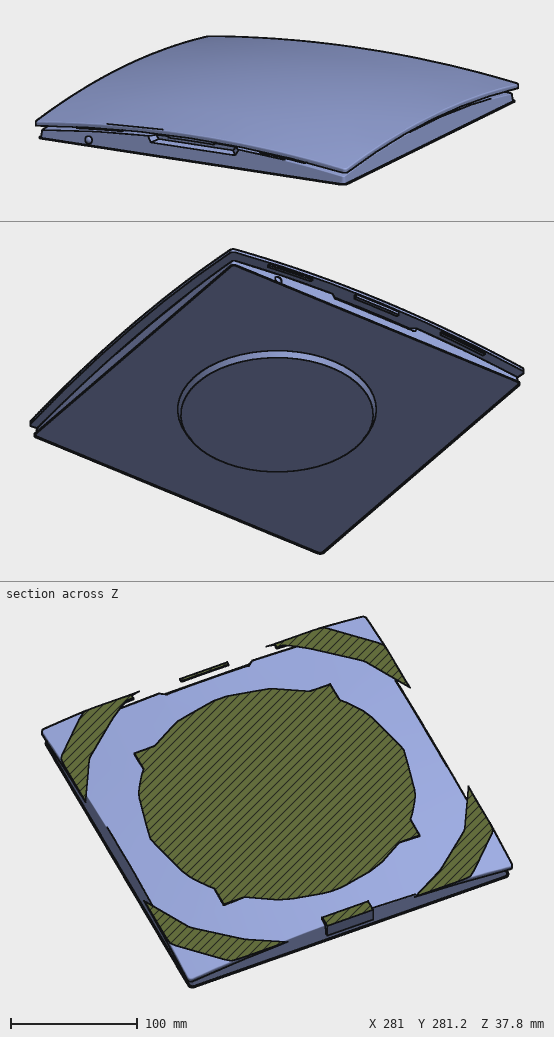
import cadquery as cq
import math

COVER_X = 281.0
COVER_Y = 281.17
BOSS_HEIGHT = 5.0
TOTAL_HEIGHT = 37.82
COVER_TOP_Z = TOTAL_HEIGHT - BOSS_HEIGHT

DOME_DROP = 9.4
DOME_RADIUS = ((COVER_X / 2) ** 2 + DOME_DROP ** 2) / (2 * DOME_DROP)

TRIM_ALLOWANCE = 1.0

COVER_THICKNESS = 3.5
COVER_CORNER_RADIUS = 3.0
COVER_EDGE_ROUND = 1.2
COVER_BOTTOM_Z = COVER_TOP_Z - COVER_THICKNESS
COVER_MIDDLE_Z = COVER_TOP_Z - COVER_THICKNESS / 2

FLANGE_SIZE = 277.0
FLANGE_THICKNESS = 0.5
FLANGE_CORNER_RADIUS = 3.5
WALL_SIZE = 275.0
WALL_DRAFT = 9.0
BASE_CORNER_RADIUS = 3.0
BASE_TOP_Z = 24.1
BASE_EDGE_ROUND = 0.8

CORE_SIZE = 170.0

BOSS_TOP_DIAMETER = 156.5
BOSS_BOTTOM_DIAMETER = 151.5

NOTCH_FRONT_WIDTH = 76.0
NOTCH_BACK_WIDTH = 67.0
NOTCH_BOTTOM_Z = 10.0
NOTCH_TOP_Z = 20.0
NOTCH_DEPTH = 5.0
NOTCH_FLOOR_RISE = 2.2
NOTCH_END_SLOPE = 0.8

TAB_THICKNESS = 3.0
TAB_INSET = 1.5
GRIP_WIDTH = 41.0
GRIP_DROP = 2.8
CLIP_WIDTH = 41.0
CLIP_OFFSET = 82.5
CLIP_DROP = 1.8

KNOB_X = -93.6
KNOB_Z = 4.2
KNOB_RADIUS = 3.6
KNOB_PROTRUSION = 1.8

STOP_WIDTH = 40.0
STOP_REACH = 139.0
STOP_DEPTH = 10.0
STOP_BOTTOM_Z = 6.5


def wall_inset(z):
    """How far the drafted wall has moved inward at height z."""
    return (z - FLANGE_THICKNESS) * math.tan(math.radians(WALL_DRAFT))


def wall_front_y(z):
    """Y of the front wall at height z."""
    return -WALL_SIZE / 2 + wall_inset(z)


def rounded_plate(size_x, size_y, height, corner_radius):
    """Upright block on z = 0 with rounded corners."""
    return cq.Workplane("XY").rect(size_x, size_y).extrude(height).edges("|Z").fillet(corner_radius)


def dome_ball(crest_z):
    """Ball whose crest lies at crest_z on the part axis."""
    return cq.Workplane("XZ").sphere(DOME_RADIUS).translate((0, 0, crest_z - DOME_RADIUS))


def make_cover():
    cover = rounded_plate(COVER_X, COVER_Y, COVER_TOP_Z + TRIM_ALLOWANCE, COVER_CORNER_RADIUS)
    cover = cover.intersect(dome_ball(COVER_TOP_Z))
    cover = cover.faces("%SPHERE").edges().fillet(COVER_EDGE_ROUND)
    return cover.cut(dome_ball(COVER_BOTTOM_Z))


def make_base():
    wall = (
        cq.Workplane("XY")
        .workplane(offset=FLANGE_THICKNESS)
        .sketch()
        .rect(WALL_SIZE, WALL_SIZE)
        .vertices()
        .fillet(BASE_CORNER_RADIUS)
        .finalize()
        .extrude(BASE_TOP_Z + TRIM_ALLOWANCE, taper=WALL_DRAFT)
    )
    wall = wall.intersect(dome_ball(BASE_TOP_Z))
    wall = wall.faces("%SPHERE").edges().fillet(BASE_EDGE_ROUND)
    flange = rounded_plate(FLANGE_SIZE, FLANGE_SIZE, FLANGE_THICKNESS, FLANGE_CORNER_RADIUS)
    return wall.union(flange)


def make_core():
    core = cq.Workplane("XY").rect(CORE_SIZE, CORE_SIZE).extrude(COVER_TOP_Z)
    return core.intersect(dome_ball(COVER_MIDDLE_Z))


def make_boss():
    """Cone frustum below the mounting plane."""
    outline = [
        (0, 0),
        (-BOSS_TOP_DIAMETER / 2, 0),
        (-BOSS_BOTTOM_DIAMETER / 2, -BOSS_HEIGHT),
        (0, -BOSS_HEIGHT),
    ]
    return cq.Workplane("YZ").polyline(outline).close().revolve(360, (0, 0), (0, 1))


def notch_outline(y, floor_width, floor_z):
    """Closed trapezoid across the notch at depth y."""
    floor_half = floor_width / 2
    top_half = floor_half + NOTCH_END_SLOPE * (NOTCH_TOP_Z - floor_z)
    return cq.Wire.makePolygon(
        [
            cq.Vector(-floor_half, y, floor_z),
            cq.Vector(floor_half, y, floor_z),
            cq.Vector(top_half, y, NOTCH_TOP_Z),
            cq.Vector(-top_half, y, NOTCH_TOP_Z),
        ],
        close=True,
    )


def make_notch():
    """Cutter with slanted ends, a floor rising inward and an upright back."""
    front_y = wall_front_y(NOTCH_BOTTOM_Z)
    front = notch_outline(front_y, NOTCH_FRONT_WIDTH, NOTCH_BOTTOM_Z)
    back = notch_outline(front_y + NOTCH_DEPTH, NOTCH_BACK_WIDTH, NOTCH_BOTTOM_Z + NOTCH_FLOOR_RISE)
    return cq.Workplane(cq.Solid.makeLoft([front, back], True))


def make_tab(center_x, width, drop):
    """Tab that follows the underside of the cover and hangs below it by drop."""
    front_y = -COVER_Y / 2 + TAB_INSET
    tab = (
        cq.Workplane("XY")
        .center(center_x, front_y + TAB_THICKNESS / 2)
        .rect(width, TAB_THICKNESS)
        .extrude(COVER_TOP_Z)
    )
    tab = tab.intersect(dome_ball(COVER_MIDDLE_Z))
    return tab.cut(dome_ball(COVER_BOTTOM_Z - drop))


def make_knob():
    center_y = wall_front_y(KNOB_Z) + KNOB_RADIUS - KNOB_PROTRUSION
    return cq.Workplane("XZ").sphere(KNOB_RADIUS).translate((KNOB_X, center_y, KNOB_Z))


def make_stop():
    stop = (
        cq.Workplane("XY", origin=(0, STOP_REACH - STOP_DEPTH / 2, STOP_BOTTOM_Z))
        .rect(STOP_WIDTH, STOP_DEPTH)
        .extrude(COVER_TOP_Z)
    )
    return stop.intersect(dome_ball(COVER_MIDDLE_Z))


result = make_base().cut(make_notch())
for feature in (make_core(), make_boss(), make_knob(), make_cover(), make_stop()):
    result = result.union(feature)
result = result.union(make_tab(0, GRIP_WIDTH, GRIP_DROP))
for side in (-1, 1):
    result = result.union(make_tab(side * CLIP_OFFSET, CLIP_WIDTH, CLIP_DROP))